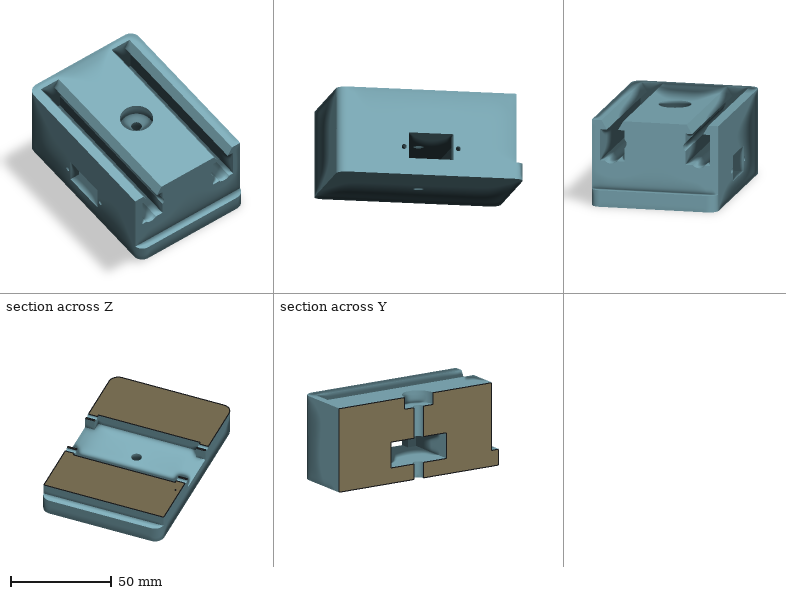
import cadquery as cq

LENGTH = 95
WIDTH = 65.0
HEIGHT = 43.5
CORNER_RADIUS = 5.0
STEP_LENGTH = 4.1
STEP_HEIGHT = 8.5

SLOT_CENTER_Y = 21.85
MOUTH_WIDTH = 11.1
THROAT_WIDTH = 5.7
CHANNEL_WIDTH = 12.5
CHANNEL_TOP = 38.9
CHANNEL_FLOOR = 22.9
END_WALL = 4.0

FLOOR_GROOVE_DIAMETER = 8.0
FLOOR_GROOVE_Y = 22.6
GROOVE_SKIN = 0.1
SIDE_GROOVE_DIAMETER = 5.6
SIDE_GROOVE_Y = 17.4
SIDE_GROOVE_Z = 32.0

CAVITY_LENGTH = 32.6
SIDE_WALL = 5.1
WINDOW_LENGTH = 22.7
WINDOW_BOTTOM = 8.3
WINDOW_TOP = 21.4
SCREW_DIAMETER = 2.5
SCREW_SPACING = 27.55
SCREW_Z = 14.1

BORE_DIAMETER = 5.3
COUNTERBORE_DIAMETER = 16.5
COUNTERBORE_DEPTH = 6.1

MIDDLE_X = LENGTH / 2
BODY_END = LENGTH - STEP_LENGTH
SLOT_LENGTH = BODY_END - END_WALL


def box_between(x_range, y_range, z_range):
    """Box spanning the given coordinate ranges."""
    sizes = [high - low for low, high in (x_range, y_range, z_range)]
    corner = (x_range[0], y_range[0], z_range[0])
    return cq.Workplane("XY").box(*sizes, centered=False).translate(corner)


def make_housing():
    """Rounded block with a low step at the open end."""
    block = cq.Workplane("XY").box(LENGTH, WIDTH, HEIGHT, centered=(False, True, False))
    block = block.edges("|Z").fillet(CORNER_RADIUS)
    above_step = box_between((BODY_END, LENGTH), (-WIDTH / 2, WIDTH / 2), (STEP_HEIGHT, HEIGHT))
    return block.cut(above_step)


def channel_box(x_start, x_end):
    """Rectangular lower section of the slot on the +Y side."""
    y_range = (SLOT_CENTER_Y - CHANNEL_WIDTH / 2, SLOT_CENTER_Y + CHANNEL_WIDTH / 2)
    return box_between((x_start, x_end), y_range, (CHANNEL_FLOOR, CHANNEL_TOP))


def groove(y, z, diameter):
    """Round bar along a slot."""
    plane = cq.Workplane("YZ", origin=(END_WALL, 0, 0))
    return plane.center(y, z).circle(diameter / 2).extrude(SLOT_LENGTH)


def make_slot():
    """Removed volume of the slot on the +Y side."""
    mouth_points = [
        (SLOT_CENTER_Y - MOUTH_WIDTH / 2, HEIGHT),
        (SLOT_CENTER_Y + MOUTH_WIDTH / 2, HEIGHT),
        (SLOT_CENTER_Y + THROAT_WIDTH / 2, CHANNEL_TOP),
        (SLOT_CENTER_Y - THROAT_WIDTH / 2, CHANNEL_TOP),
    ]
    plane = cq.Workplane("YZ", origin=(END_WALL, 0, 0))
    mouth = plane.polyline(mouth_points).close().extrude(SLOT_LENGTH)
    floor_groove_z = WINDOW_TOP + GROOVE_SKIN + FLOOR_GROOVE_DIAMETER / 2
    slot = channel_box(END_WALL, BODY_END).union(mouth)
    slot = slot.union(groove(FLOOR_GROOVE_Y, floor_groove_z, FLOOR_GROOVE_DIAMETER))
    return slot.union(groove(SIDE_GROOVE_Y, SIDE_GROOVE_Z, SIDE_GROOVE_DIAMETER))


def make_cavity():
    """Cross cavity, with a window and two screw holes through each side wall."""
    z_range = (WINDOW_BOTTOM, WINDOW_TOP)
    cavity_half_width = WIDTH / 2 - SIDE_WALL
    cavity = box_between(
        (MIDDLE_X - CAVITY_LENGTH / 2, MIDDLE_X + CAVITY_LENGTH / 2),
        (-cavity_half_width, cavity_half_width),
        z_range,
    )
    windows = box_between(
        (MIDDLE_X - WINDOW_LENGTH / 2, MIDDLE_X + WINDOW_LENGTH / 2),
        (-WIDTH / 2, WIDTH / 2),
        z_range,
    )
    screw_points = [(MIDDLE_X + side * SCREW_SPACING / 2, SCREW_Z) for side in (-1, 1)]
    screws = cq.Workplane("XZ").pushPoints(screw_points).circle(SCREW_DIAMETER / 2)
    return cavity.union(windows).union(screws.extrude(WIDTH / 2, both=True))


def make_center_hole():
    """Through bore with its counterbore at the top."""
    bore = cq.Workplane("XY").center(MIDDLE_X, 0).circle(BORE_DIAMETER / 2).extrude(HEIGHT)
    seat = cq.Workplane("XY", origin=(MIDDLE_X, 0, HEIGHT - COUNTERBORE_DEPTH))
    return bore.union(seat.circle(COUNTERBORE_DIAMETER / 2).extrude(COUNTERBORE_DEPTH))


slot = make_slot()
plug = channel_box(0, END_WALL)

result = make_housing()
result = result.union(plug).union(plug.mirror("XZ"))
result = result.cut(slot).cut(slot.mirror("XZ"))
result = result.cut(make_cavity()).cut(make_center_hole())